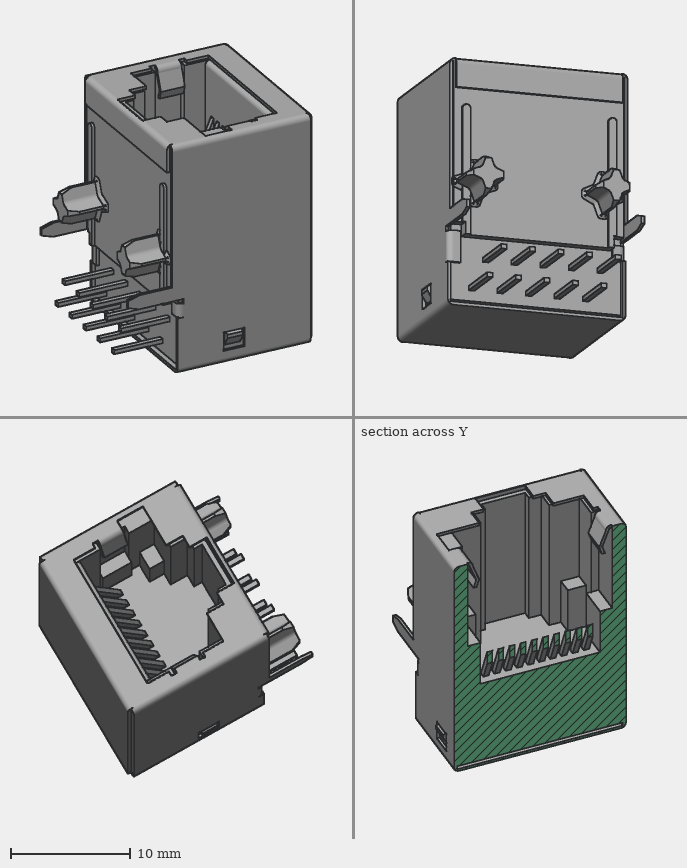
import cadquery as cq
import math


HEIGHT = 21.35
SIDE_X = 7.92
PLATE_X = 7.4
BACK_Y = 13.7
SIDE_BACK_Y = 13.35
SHEET = 0.28
BEND_R = 0.51
FACE_Y = 0.25
LOWER_EDGE_Y = 0.77
PIN_FACE_Y = 1.05
STEP_Z = 6.05
STEP_SIDE_Z = 7.1
STEP_SIDE_X = 6.62
FRONT_FLAP_Z = 18.78
INNER_X = 7.58
SIDE_GAP = 0.09
SIDE_GAP_DEPTH = 1.28
FLOOR_GAP = 0.25

CAVITY_FLOOR_Z = 8.54
LIP = 0.28
MOUTH_X = 6.19
MOUTH_BACK_Y = 11.05
LIP_ROUND = 0.45
SHOULDER_Y = 3.71
KEY_X = 3.41
KEY_Y = 2.1
TAB_SLOT_X = 2.28
TAB_SLOT_Y = 0.43
TAB_SLOT_INNER_Y = 1.05
FLAP_GAP = 0.17
FLAP_GAP_DEPTH = 0.85
NOTCH_X = 6.62
NOTCH_Y = (5.7, 8.98)
POCKET_X = 6.62
POCKET_Y = (5.87, 8.65)
WINDOW_X = 7.3
WINDOW_TOP_Y = 6.2
FLOOR_BLOCK_TOP = 12.8
CORNER_BLOCK_X = 4.23
CORNER_BLOCK_Y = 4.85
CLIP_BLOCK_X = 5.48

CLIP_Y = (6.2, 8.47)
CLIP_BEND_X = 6.62
CLIP_BEND_R = 0.53
CLIP_KNEE = (5.5, 19.31)
CLIP_END = (5.76, 18.57)

CONTACT_COUNT = 10
CONTACT_PITCH = 1.02
CONTACT_WIDTH = 0.5
CONTACT_TOP_Z = 16.33
CONTACT_FRONT_Y = 7.32
CONTACT_HEIGHT = 0.77
CONTACT_ROOT = 0.21

PIN_COUNT = 5
PIN_PITCH = 2.55
PIN_SHIFT = PIN_PITCH / 4
PIN_WIDTH = 0.5
PIN_THICKNESS = 0.38
PIN_TIP_Y = -3.56
PIN_ROWS = ((4.23, PIN_SHIFT), (1.65, -PIN_SHIFT))

POST_X = 5.7
POST_Z = 10.58
POST_REACH = 1.69
RIGHT_POST_REACH_X = 1.52
POST_TIP_Y = -3.22
POST_TAPER_Y = -2.28
POST_TAPER = 0.36
LOBE_HALF = 0.13
WAIST_NEAR = 0.45
WAIST_FAR = 0.85
WAIST_MID = 0.6
POST_FLARE = 0.36

RIB_X = 6.5
RIB_WIDTH = 0.73
RIB_TOP_Z = 17.35

BLADE_Z = (6.91, 8.22)
BLADE_TIP_Z = (7.25, 7.9)
BLADE_TAPER_Y = -2.88
BLADE_TIP_Y = -3.95
RELIEF_Y = 1.32
SIDE_FLAP_TOP_Z = 6.49
FLAP_INNER_X = 6.79
LEFT_FLAP_BOTTOM = 3.75
RIGHT_FLAP_BOTTOM = 5.2

LATCH_OUT_X = SIDE_X + 0.181
LATCH_WINDOW_Y = (5.1, 7.1)
LATCH_WINDOW_Z = (1.2, 2.92)
LATCH_Y = (5.35, 6.83)
LATCH_WALL_Z = (2.07, 2.84)
LATCH_NOSE_Z = (2.4, 2.73)
LATCH_FOOT_Z = 1.5


def box(x_range, y_range, z_range):
    size = [b - a for a, b in (x_range, y_range, z_range)]
    return cq.Workplane("XY").box(*size, centered=False).translate((x_range[0], y_range[0], z_range[0]))


def mirrored(points):
    """Close an outline given for +X by its mirror image across X = 0."""
    return points + [(-x, y) for x, y in reversed(points)]


def prism_z(points, z_low, z_high):
    return cq.Workplane("XY").workplane(offset=z_low).polyline(points).close().extrude(z_high - z_low)


def prism_y(points, y_low, y_high):
    profile = cq.Workplane("XZ").workplane(offset=-y_high).polyline(points).close()
    return profile.extrude(y_high - y_low)


def side_range(side, inner, outer):
    """X range from inner to outer half width on the given side (-1 or 1)."""
    return tuple(sorted((side * inner, side * outer)))


def make_envelope():
    """Outer block: side walls set back from the back plate and front flap."""
    sides = box((-SIDE_X, SIDE_X), (FACE_Y, SIDE_BACK_Y), (0, HEIGHT))
    sides = sides.edges("|Y").fillet(BEND_R)
    sides = sides.cut(box((-PLATE_X, PLATE_X), (0, BACK_Y), (0, HEIGHT)))
    wrap = box((-PLATE_X, PLATE_X), (0, BACK_Y), (0, HEIGHT))
    wrap = wrap.edges("|X and (>Y or >Z)").fillet(BEND_R)
    body = sides.union(wrap)
    return body.cut(box((-SIDE_X, SIDE_X), (0, FACE_Y), (0, FRONT_FLAP_Z)))


def cut_board_side(body):
    """Pin recess, shortened side walls and the gaps inside the shield."""
    wall_trim = box((-SIDE_X, SIDE_X), (0, LOWER_EDGE_Y), (0, SIDE_FLAP_TOP_Z))
    middle = box((-STEP_SIDE_X, STEP_SIDE_X), (0, LOWER_EDGE_Y), (STEP_Z, SIDE_FLAP_TOP_Z))
    body = body.cut(wall_trim.cut(middle))
    recess = [
        (INNER_X, SHEET + FLOOR_GAP),
        (INNER_X, STEP_SIDE_Z),
        (STEP_SIDE_X, STEP_SIDE_Z),
        (STEP_SIDE_X, STEP_Z),
    ]
    body = body.cut(prism_y(mirrored(recess), 0, PIN_FACE_Y))
    body = body.cut(box((-INNER_X, INNER_X), (0, BACK_Y - SHEET), (SHEET, SHEET + FLOOR_GAP)))
    for side in (-1, 1):
        gap_x = side_range(side, INNER_X, INNER_X + SIDE_GAP)
        body = body.cut(box(gap_x, (0, FACE_Y + SIDE_GAP_DEPTH), (SHEET, HEIGHT - SHEET)))
        relief_x = side_range(side, INNER_X, SIDE_X)
        body = body.cut(box(relief_x, (0, RELIEF_Y), (SIDE_FLAP_TOP_Z, BLADE_Z[0])))
    return body


def cut_mouth(body):
    """Shield opening, housing cavity with rounded top edge, and clip pockets."""
    shield_z = HEIGHT - SHEET
    opening = [
        (MOUTH_X, MOUTH_BACK_Y),
        (MOUTH_X, NOTCH_Y[1]),
        (NOTCH_X, NOTCH_Y[1]),
        (NOTCH_X, NOTCH_Y[0]),
        (MOUTH_X, NOTCH_Y[0]),
        (MOUTH_X, SHOULDER_Y),
        (KEY_X, SHOULDER_Y),
        (KEY_X, KEY_Y),
        (TAB_SLOT_X, KEY_Y),
        (TAB_SLOT_X, TAB_SLOT_Y),
    ]
    cavity = [
        (MOUTH_X - LIP, MOUTH_BACK_Y - LIP_ROUND),
        (MOUTH_X - LIP, SHOULDER_Y - LIP),
        (KEY_X - LIP, SHOULDER_Y - LIP),
        (KEY_X - LIP, KEY_Y - LIP),
        (TAB_SLOT_X - LIP, KEY_Y - LIP),
        (TAB_SLOT_X - LIP, TAB_SLOT_INNER_Y),
    ]
    body = body.cut(prism_z(mirrored(opening), shield_z, HEIGHT))
    body = body.cut(prism_z(mirrored(cavity), CAVITY_FLOOR_Z, shield_z))
    gap_z = (shield_z - FLAP_GAP_DEPTH, shield_z)
    body = body.cut(box((-TAB_SLOT_X, TAB_SLOT_X), (TAB_SLOT_Y, TAB_SLOT_Y + FLAP_GAP), gap_z))
    lip_x = MOUTH_X - LIP
    wall_y = MOUTH_BACK_Y - LIP_ROUND
    lip = box((-lip_x, lip_x), (wall_y, MOUTH_BACK_Y), (shield_z - LIP_ROUND, shield_z))
    rounding = cq.Workplane("YZ").circle(LIP_ROUND).extrude(lip_x, both=True)
    body = body.cut(lip.cut(rounding.translate((0, MOUTH_BACK_Y, shield_z - LIP_ROUND))))
    for side in (-1, 1):
        body = body.cut(box(side_range(side, 0, POCKET_X), POCKET_Y, (CAVITY_FLOOR_Z, shield_z)))
    return body.cut(box((MOUTH_X, WINDOW_X), (SHOULDER_Y, WINDOW_TOP_Y), (shield_z, HEIGHT)))


def make_floor_blocks():
    blocks = cq.Workplane("XY")
    block_z = (CAVITY_FLOOR_Z, FLOOR_BLOCK_TOP)
    for side in (-1, 1):
        corner_x = side_range(side, CORNER_BLOCK_X, MOUTH_X - LIP)
        blocks = blocks.add(box(corner_x, (SHOULDER_Y - LIP, CORNER_BLOCK_Y), block_z))
        blocks = blocks.add(box(side_range(side, CLIP_BLOCK_X, POCKET_X), POCKET_Y, block_z))
    return blocks.combine()


def make_clips():
    """Shield tongues bent down into the mouth, each ending in a kicked-back lip."""
    sin45 = math.sqrt(0.5)
    bend_z = HEIGHT - CLIP_BEND_R
    inner_r = CLIP_BEND_R - SHEET
    knee_x, knee_z = CLIP_KNEE
    end_x, end_z = CLIP_END
    profile = (
        cq.Workplane("XZ")
        .workplane(offset=-CLIP_Y[1])
        .moveTo(NOTCH_X + SHEET, HEIGHT)
        .lineTo(CLIP_BEND_X, HEIGHT)
        .threePointArc(
            (CLIP_BEND_X - CLIP_BEND_R * sin45, bend_z + CLIP_BEND_R * sin45),
            (CLIP_BEND_X - CLIP_BEND_R, bend_z),
        )
        .lineTo(knee_x, knee_z)
        .lineTo(end_x, end_z)
        .lineTo(end_x + SHEET, end_z)
        .lineTo(knee_x + SHEET, knee_z)
        .lineTo(CLIP_BEND_X - inner_r, bend_z)
        .threePointArc(
            (CLIP_BEND_X - inner_r * sin45, bend_z + inner_r * sin45),
            (CLIP_BEND_X, bend_z + inner_r),
        )
        .lineTo(NOTCH_X + SHEET, HEIGHT - SHEET)
        .close()
    )
    right = profile.extrude(CLIP_Y[1] - CLIP_Y[0])
    return right.union(right.mirror("YZ"))


def make_contacts():
    """Spring contacts sloping from the back wall down to the cavity floor."""
    wall_y = MOUTH_BACK_Y - LIP_ROUND
    outline = [
        (wall_y, CONTACT_TOP_Z),
        (CONTACT_FRONT_Y, CAVITY_FLOOR_Z),
        (CONTACT_FRONT_Y + CONTACT_ROOT, CAVITY_FLOOR_Z - CONTACT_HEIGHT),
        (wall_y + CONTACT_ROOT, CONTACT_TOP_Z - CONTACT_HEIGHT),
    ]
    bar = cq.Workplane("YZ").polyline(outline).close().extrude(CONTACT_WIDTH / 2, both=True)
    contacts = cq.Workplane("XY")
    for i in range(CONTACT_COUNT):
        x = (i - (CONTACT_COUNT - 1) / 2) * CONTACT_PITCH
        contacts = contacts.add(bar.translate((x, 0, 0)))
    return contacts.combine()


def make_pins():
    pins = cq.Workplane("XY")
    half_width = PIN_WIDTH / 2
    half_thick = PIN_THICKNESS / 2
    for z, shift in PIN_ROWS:
        for i in range(PIN_COUNT):
            x = (i - (PIN_COUNT - 1) / 2) * PIN_PITCH + shift
            pins = pins.add(box(
                (x - half_width, x + half_width),
                (PIN_TIP_Y, PIN_FACE_Y + SHEET),
                (z - half_thick, z + half_thick),
            ))
    return pins.combine()


def star(workplane, reach_x, reach_z):
    """Four-lobed outline with arched waists between the lobes."""
    half = LOBE_HALF
    near = WAIST_NEAR
    far = WAIST_FAR
    mid = WAIST_MID
    return (
        workplane.moveTo(half, reach_z)
        .lineTo(near, far)
        .threePointArc((mid, mid), (far, near))
        .lineTo(reach_x, half)
        .lineTo(reach_x, -half)
        .lineTo(far, -near)
        .threePointArc((mid, -mid), (near, -far))
        .lineTo(half, -reach_z)
        .lineTo(-half, -reach_z)
        .lineTo(-near, -far)
        .threePointArc((-mid, -mid), (-far, -near))
        .lineTo(-reach_x, -half)
        .lineTo(-reach_x, half)
        .lineTo(-far, near)
        .threePointArc((-mid, mid), (-near, far))
        .lineTo(-half, reach_z)
        .close()
    )


def taper_outline(reach):
    """Post silhouette along Y, narrowing toward the tip; points are (y, offset)."""
    edge = [
        (FACE_Y, reach),
        (POST_TAPER_Y, reach),
        (POST_TIP_Y, reach - POST_TAPER),
    ]
    return edge + [(y, -offset) for y, offset in reversed(edge)]


def make_post(x, reach_x):
    """Star-shaped locating post with tapered lobe ends and a flared root."""
    shaft = star(cq.Workplane("XZ").workplane(offset=-FACE_Y), reach_x, POST_REACH)
    shaft = shaft.extrude(FACE_Y - POST_TIP_Y)
    side_limit = taper_outline(POST_REACH)
    shaft = shaft.intersect(cq.Workplane("YZ").polyline(side_limit).close().extrude(POST_REACH, both=True))
    top_limit = [(offset, y) for y, offset in taper_outline(reach_x)]
    shaft = shaft.intersect(prism_z(top_limit, -POST_REACH, POST_REACH))
    flare_angle = math.degrees(math.atan2(POST_FLARE, FACE_Y))
    flare = star(cq.Workplane("XZ"), reach_x, POST_REACH).extrude(-FACE_Y, taper=-flare_angle)
    return shaft.union(flare).translate((x, 0, POST_Z))


def make_ribs():
    ribs = cq.Workplane("XY")
    radius = RIB_WIDTH / 2
    for side in (-1, 1):
        x = side * RIB_X
        shaft = box((x - radius, x + radius), (0, PIN_FACE_Y), (STEP_Z, RIB_TOP_Z - radius))
        top = cq.Workplane("XZ").center(x, RIB_TOP_Z - radius).circle(radius).extrude(-PIN_FACE_Y)
        notch = box(side_range(side, STEP_SIDE_X, SIDE_X), (0, PIN_FACE_Y), (STEP_Z, STEP_SIDE_Z))
        ribs = ribs.add(shaft.union(top).cut(notch))
    return ribs.combine()


def make_blades():
    outline = [
        (RELIEF_Y, BLADE_Z[0]),
        (BLADE_TAPER_Y, BLADE_Z[0]),
        (BLADE_TIP_Y, BLADE_TIP_Z[0]),
        (BLADE_TIP_Y, BLADE_TIP_Z[1]),
        (BLADE_TAPER_Y, BLADE_Z[1]),
        (RELIEF_Y, BLADE_Z[1]),
    ]
    blade = cq.Workplane("YZ").polyline(outline).close().extrude(SHEET)
    return blade.translate((SIDE_X - SHEET, 0, 0)).union(blade.translate((-SIDE_X, 0, 0)))


def add_side_flap(body, side, bottom_z):
    """Replace the side wall edge by a tab folded over the housing face."""
    flap_z = (bottom_z, SIDE_FLAP_TOP_Z)
    flap = box(side_range(side, FLAP_INNER_X, SIDE_X), (LOWER_EDGE_Y, RELIEF_Y), flap_z)
    inner = box(side_range(side, FLAP_INNER_X, SIDE_X - SHEET), (LOWER_EDGE_Y + SHEET, RELIEF_Y), flap_z)
    outer_edge = ">X and <Y" if side > 0 else "<X and <Y"
    flap = flap.edges("|Z").edges(outer_edge).fillet(BEND_R).cut(inner)
    wall = box(side_range(side, INNER_X, SIDE_X), (LOWER_EDGE_Y, RELIEF_Y), flap_z)
    return body.cut(wall).union(flap)


def add_latches(body):
    """Housing latches showing through windows in the side walls."""
    ramp = [
        (INNER_X, LATCH_WINDOW_Z[1]),
        (SIDE_X, LATCH_WALL_Z[1]),
        (LATCH_OUT_X, LATCH_NOSE_Z[1]),
        (LATCH_OUT_X, LATCH_NOSE_Z[0]),
        (SIDE_X, LATCH_WALL_Z[0]),
        (INNER_X, LATCH_FOOT_Z),
    ]
    for side in (-1, 1):
        wall_x = side_range(side, SIDE_X - SHEET, SIDE_X)
        body = body.cut(box(wall_x, LATCH_WINDOW_Y, LATCH_WINDOW_Z))
        body = body.union(prism_y([(side * x, z) for x, z in ramp], *LATCH_Y))
    return body


result = cut_mouth(cut_board_side(make_envelope()))
result = add_side_flap(result, -1, LEFT_FLAP_BOTTOM)
result = add_side_flap(result, 1, RIGHT_FLAP_BOTTOM)
result = result.union(make_floor_blocks()).union(make_clips()).union(make_contacts())
result = result.union(make_ribs()).union(make_pins()).union(make_blades())
result = result.union(make_post(-POST_X, POST_REACH)).union(make_post(POST_X, RIGHT_POST_REACH_X))
result = add_latches(result)